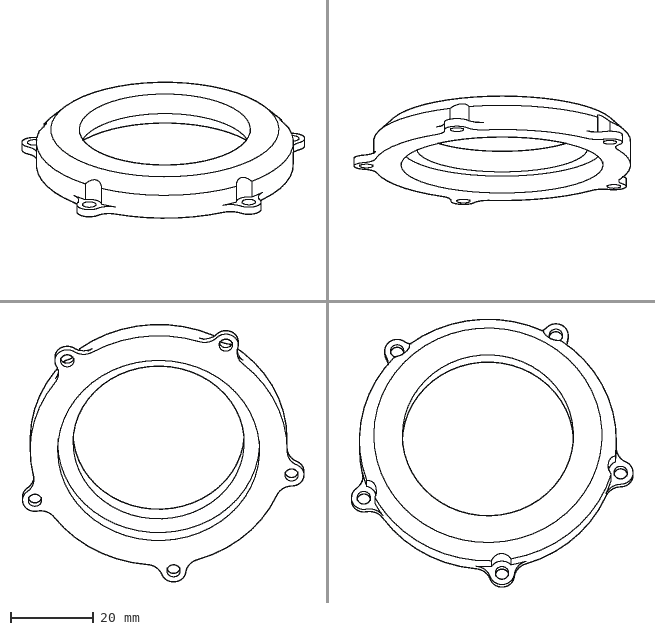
import cadquery as cq
import math

height = 9.5
outer_radius = 31.2
bore_diameter = 41.55
recess_diameter = 49.0
recess_depth = 4.25
bevel_width = 3.5
bevel_height = 3.4

ear_count = 5
overall_width = 68.8
ear_radius = 3.0
ear_thickness = 1.9
ear_hole_diameter = 3.2
ear_fillet_radius = 4.0
first_ear_angle = -90

widest_ear_angle = math.radians(first_ear_angle + 360 / ear_count)
ear_circle_radius = (overall_width / 2 - ear_radius) / math.cos(widest_ear_angle)


def ring_body():
    """Solid disc with a beveled upper rim."""
    profile = [
        (0, 0),
        (outer_radius, 0),
        (outer_radius, height - bevel_height),
        (outer_radius - bevel_width, height),
        (0, height),
    ]
    return cq.Workplane("XZ").polyline(profile).close().revolve(360, (0, 0), (0, 1))


def ear():
    """Ear on the +X side, blended into the ring by concave arcs tangent to both."""
    fillet_distance = outer_radius + ear_fillet_radius
    ear_to_fillet = ear_radius + ear_fillet_radius
    fillet_x = (fillet_distance**2 + ear_circle_radius**2 - ear_to_fillet**2) / (2 * ear_circle_radius)
    fillet_y = math.sqrt(fillet_distance**2 - fillet_x**2)

    ring_x = fillet_x * outer_radius / fillet_distance
    ring_y = fillet_y * outer_radius / fillet_distance
    ear_share = ear_radius / ear_to_fillet
    ear_x = ear_circle_radius + (fillet_x - ear_circle_radius) * ear_share
    ear_y = fillet_y * ear_share

    middle_x = (ring_x + ear_x) / 2 - fillet_x
    middle_y = (ring_y + ear_y) / 2 - fillet_y
    stretch = ear_fillet_radius / math.hypot(middle_x, middle_y)
    arc_x = fillet_x + middle_x * stretch
    arc_y = fillet_y + middle_y * stretch

    root_x = (outer_radius + recess_diameter / 2) / 2
    return (
        cq.Workplane("XY")
        .moveTo(root_x, -ring_y)
        .lineTo(ring_x, -ring_y)
        .threePointArc((arc_x, -arc_y), (ear_x, -ear_y))
        .threePointArc((ear_circle_radius + ear_radius, 0), (ear_x, ear_y))
        .threePointArc((arc_x, arc_y), (ring_x, ring_y))
        .lineTo(root_x, ring_y)
        .close()
        .extrude(ear_thickness)
    )


def ear_cylinder(diameter, bottom, top):
    """Vertical cylinder centered on the +X ear."""
    return (
        cq.Workplane("XY", origin=(ear_circle_radius, 0, bottom))
        .circle(diameter / 2)
        .extrude(top - bottom)
    )


def at_ear(shape, index):
    """Turn a shape from the +X side to the numbered ear."""
    angle = first_ear_angle + index * 360 / ear_count
    return shape.rotate((0, 0, 0), (0, 0, 1), angle)


result = ring_body()

for index in range(ear_count):
    result = result.cut(at_ear(ear_cylinder(2 * ear_radius, ear_thickness, height), index))
    result = result.union(at_ear(ear(), index))
    result = result.cut(at_ear(ear_cylinder(ear_hole_diameter, 0, ear_thickness), index))

bore = cq.Workplane("XY").circle(bore_diameter / 2).extrude(height)
recess = cq.Workplane("XY").circle(recess_diameter / 2).extrude(recess_depth)
result = result.cut(bore).cut(recess)